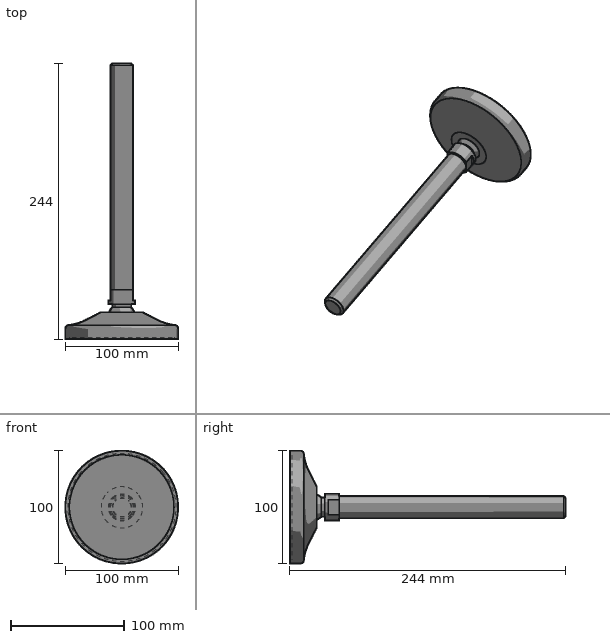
import cadquery as cq
import math

total_length = 244.0

pad_radius = 50.0
pad_rim_height = 9.0
pad_shoulder_radius = 47.8
pad_shoulder_height = 12.5
pad_hollow_radius = 37.3
pad_hollow_height = 14.6
pad_cone_radius = 29.8
pad_cone_height = 18.0
pad_top_radius = 18.3
pad_height = 24.0
shoulder_bulge = 0.6
recess_radius = 92.5 / 2
recess_depth = 1.7

neck_radius = 8.5
ball_radius = 24.0 / 2
ball_top = 28.0

collar_radius = 24.0 / 2
collar_bottom = 31.0
collar_top = 43.7
flat_bottom = 34.2
across_flats = 20.0

stem_radius = 20.0 / 2
stem_chamfer = 2.0


def cylinder(radius, start, end):
    """Cylinder on the Y axis between two heights."""
    plane = cq.Plane(origin=(0, start, 0), xDir=(1, 0, 0), normal=(0, 1, 0))
    return cq.Workplane(plane).circle(radius).extrude(end - start)


def make_pad():
    """Revolved pad with a rounded shoulder, hollowed sloping top and shallow underside recess."""
    shoulder_run = pad_radius - pad_shoulder_radius
    shoulder_rise = pad_shoulder_height - pad_rim_height
    shoulder_chord = math.hypot(shoulder_run, shoulder_rise)
    shoulder_middle = (
        (pad_radius + pad_shoulder_radius) / 2 + shoulder_bulge * shoulder_rise / shoulder_chord,
        (pad_rim_height + pad_shoulder_height) / 2 + shoulder_bulge * shoulder_run / shoulder_chord,
    )
    return (
        cq.Workplane("XY")
        .moveTo(0, recess_depth)
        .lineTo(recess_radius, recess_depth)
        .lineTo(recess_radius, 0)
        .lineTo(pad_radius, 0)
        .lineTo(pad_radius, pad_rim_height)
        .threePointArc(shoulder_middle, (pad_shoulder_radius, pad_shoulder_height))
        .threePointArc((pad_hollow_radius, pad_hollow_height), (pad_cone_radius, pad_cone_height))
        .lineTo(pad_top_radius, pad_height)
        .lineTo(0, pad_height)
        .close()
        .revolve(360, (0, 0, 0), (0, 1, 0))
    )


def make_neck():
    """Cylindrical neck that runs into a ball; the lower part of the ball lies inside the pad."""
    ball_centre = ball_top - math.sqrt(ball_radius**2 - neck_radius**2)
    ball = cq.Workplane("XY").sphere(ball_radius).translate((0, ball_centre, 0))
    return ball.union(cylinder(neck_radius, ball_centre, collar_bottom))


def make_collar():
    """Round flange below a section cut to two flats facing -X and +X."""
    flange = cylinder(collar_radius, collar_bottom, flat_bottom)
    flat_length = collar_top - flat_bottom
    between_flats = (
        cq.Workplane("XY")
        .box(across_flats, flat_length, 2 * collar_radius)
        .translate((0, (flat_bottom + collar_top) / 2, 0))
    )
    flatted = cylinder(collar_radius, flat_bottom, collar_top).intersect(between_flats)
    return flange.union(flatted)


def make_stem():
    """Long plain stem with a chamfered free end."""
    return cylinder(stem_radius, collar_top, total_length).faces(">Y").chamfer(stem_chamfer)


result = make_pad().union(make_neck()).union(make_collar()).union(make_stem())